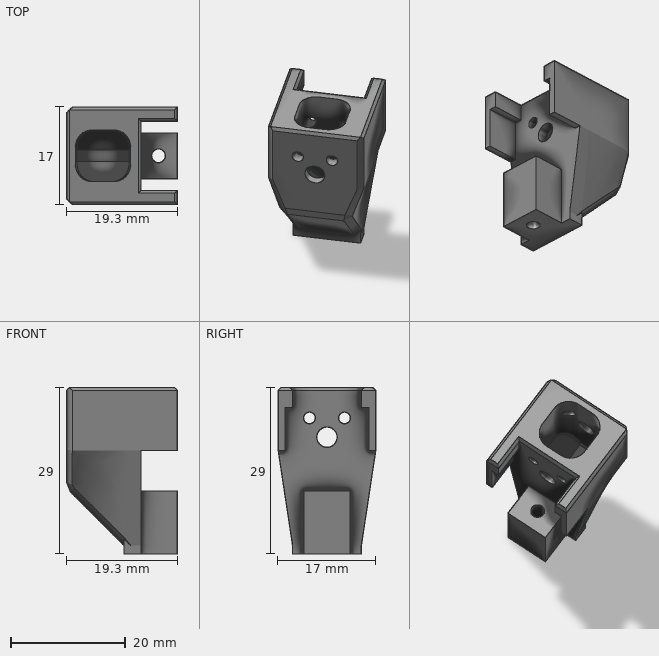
import math
import cadquery as cq

housing_width = 17.0
body_depth = 13.0
total_depth = 19.3
total_height = 29.0
housing_bottom = 18.0
top_chamfer = 0.5
front_chamfer = 1.0

channel_width = 12.0
groove_width = 14.65
lip_bottom = 25.5

foot_width = 12.0
foot_front = 10.0
neck_bottom = 1.5
slope_top = neck_bottom + foot_front

block_width = 8.0
block_height = 11.0
block_hole_diameter = 2.36
block_hole_x = 16.0

pocket_center_x = 6.35
pocket_width = 9.0
pocket_length = 9.0
pocket_ledge = 0.3
pocket_corner_radius = 3.0
pocket_floor = 11.8
trough_flat_width = 2.0

main_hole_diameter = 3.5
main_hole_z = 20.35
small_hole_diameter = 2.0
small_hole_z = 23.7
small_hole_spacing = 6.1


def box(x_min, x_max, width, z_min, z_max):
    """Box symmetric about the y = 0 plane."""
    size_x = x_max - x_min
    size_z = z_max - z_min
    return cq.Workplane("XY").box(size_x, width, size_z, centered=(False, True, False)).translate(
        (x_min, 0, z_min)
    )


def profile_points(profile, width, side):
    """Points of an XZ profile placed at half the given width on one side of y = 0."""
    return [cq.Vector(x, side * width / 2, z) for x, z in profile]


def polygon_face(corners):
    """Flat face through the given corners."""
    return cq.Face.makeFromWires(cq.Wire.makePolygon(corners, close=True))


def neck():
    """Tapered solid whose sides are ruled between the housing edge and the bent lower edge."""
    slope_length = math.hypot(foot_front, slope_top - neck_bottom)
    flat_length = body_depth - foot_front
    split_x = body_depth * slope_length / (slope_length + flat_length)

    upper = [(0, housing_bottom), (split_x, housing_bottom), (body_depth, housing_bottom)]
    lower = [(0, slope_top), (foot_front, neck_bottom), (body_depth, neck_bottom)]

    upper_near = profile_points(upper, housing_width, -1)
    upper_far = profile_points(upper, housing_width, 1)
    lower_near = profile_points(lower, foot_width, -1)
    lower_far = profile_points(lower, foot_width, 1)
    segments = range(len(upper) - 1)

    faces = []

    for top, bottom in ((upper_near, lower_near), (upper_far, lower_far)):
        for i in segments:
            top_edge = cq.Edge.makeLine(top[i], top[i + 1])
            bottom_edge = cq.Edge.makeLine(bottom[i], bottom[i + 1])
            faces.append(cq.Face.makeRuledSurface(top_edge, bottom_edge))

    for near, far in ((upper_near, upper_far), (lower_near, lower_far)):
        for i in segments:
            faces.append(polygon_face([near[i], near[i + 1], far[i + 1], far[i]]))

    for end in (0, -1):
        faces.append(polygon_face([upper_near[end], upper_far[end], lower_far[end], lower_near[end]]))

    solid = cq.Solid.makeSolid(cq.Shell.makeShell(faces))
    return cq.Workplane(solid.fix())


def body():
    """Housing and neck, with the channel cut and the outer edges chamfered."""
    housing = box(0, total_depth, housing_width, housing_bottom, total_height)
    shape = housing.union(neck())

    chamfered_edges = shape.faces("<X").edges("not(>Z)")
    slope_middle_z = (slope_top + neck_bottom) / 2
    for side in (-1, 1):
        slope_middle = (foot_front / 2, side * foot_width / 2, slope_middle_z)
        chamfered_edges = chamfered_edges.add(
            shape.edges(cq.selectors.NearestToPointSelector(slope_middle))
        )
    shape = chamfered_edges.chamfer(front_chamfer)

    envelope = box(0, total_depth, housing_width, 0, total_height)
    channel = box(body_depth, total_depth, channel_width, housing_bottom, total_height)
    rimmed_envelope = envelope.cut(channel).faces(">Z").chamfer(top_chamfer)
    return shape.intersect(rimmed_envelope)


def foot():
    """Foot pad under the neck together with the drilled block behind it."""
    pad = box(foot_front, body_depth, foot_width, 0, block_height)
    block = box(body_depth, total_depth, block_width, 0, block_height)
    hole = (
        cq.Workplane("XY")
        .center(block_hole_x, 0)
        .circle(block_hole_diameter / 2)
        .extrude(block_height)
    )
    return pad.union(block).cut(hole)


def pocket(length, floor_z):
    """Rounded pocket whose floor is a flat strip with 45 degree banks on both sides."""
    half_width = pocket_width / 2
    half_flat = trough_flat_width / 2
    bank_top = floor_z + half_width - half_flat
    outline = box(
        pocket_center_x - length / 2,
        pocket_center_x + length / 2,
        pocket_width,
        floor_z,
        total_height,
    ).edges("|Z").fillet(pocket_corner_radius)
    section = (
        cq.Workplane("YZ")
        .moveTo(-half_flat, floor_z)
        .lineTo(half_flat, floor_z)
        .lineTo(half_width, bank_top)
        .lineTo(half_width, total_height)
        .lineTo(-half_width, total_height)
        .lineTo(-half_width, bank_top)
        .close()
        .extrude(body_depth)
    )
    return outline.intersect(section)


def front_hole(diameter, y, z):
    """Cutter for a hole along X through the full depth of the housing."""
    return cq.Workplane("YZ").center(y, z).circle(diameter / 2).extrude(body_depth)


result = body().union(foot())

result = result.cut(box(body_depth, total_depth, groove_width, housing_bottom, lip_bottom))

result = result.cut(pocket(pocket_length, pocket_floor))
result = result.cut(pocket(pocket_length + 2 * pocket_ledge, pocket_floor + pocket_ledge))

result = result.cut(front_hole(main_hole_diameter, 0, main_hole_z))
for side in (-1, 1):
    result = result.cut(front_hole(small_hole_diameter, side * small_hole_spacing / 2, small_hole_z))